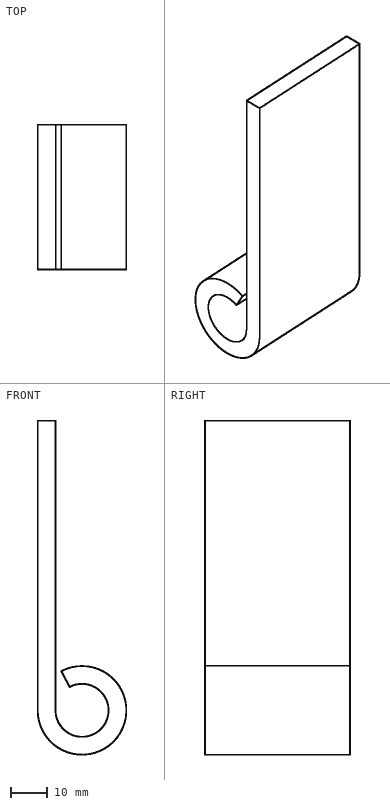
import cadquery as cq
import math

total_height = 92.25
width = 40.0
outer_radius = 12.3
thickness = 5.0
curl_end_angle = 118.0

inner_radius = outer_radius - thickness
plate_top = total_height - outer_radius


def on_curl(radius, angle):
    """Point on a circle around the curl axis, which is the sketch origin."""
    a = math.radians(angle)
    return (radius * math.cos(a), radius * math.sin(a))


curl_middle_angle = (curl_end_angle - 180) / 2

profile = (
    cq.Workplane("XZ")
    .moveTo(-outer_radius, plate_top)
    .lineTo(-outer_radius, 0)
    .threePointArc(on_curl(outer_radius, curl_middle_angle), on_curl(outer_radius, curl_end_angle))
    .lineTo(*on_curl(inner_radius, curl_end_angle))
    .threePointArc(on_curl(inner_radius, curl_middle_angle), (-inner_radius, 0))
    .lineTo(-inner_radius, plate_top)
    .close()
)

result = profile.extrude(width / 2, both=True)